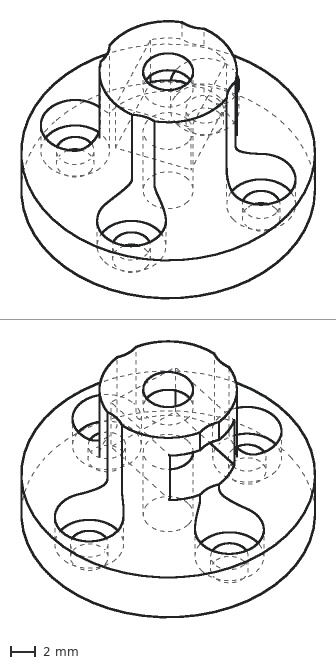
import cadquery as cq

flange_diameter = 23.5
flange_height = 4.5
total_height = 14.0
hub_diameter = 11.0
root_radius = 2.0
bore_diameter = 4.0

screw_count = 4
screw_circle_radius = 8.0
screw_hole_diameter = 3.0
counterbore_diameter = 5.5
counterbore_depth = 3.0

pocket_width = 6.5
pocket_height = 5.0
pocket_roof = 2.0


def make_body():
    """Revolve the flange, the concave root and the hub as one profile."""
    hub_radius = hub_diameter / 2
    profile = (
        cq.Workplane("XZ")
        .lineTo(flange_diameter / 2, 0)
        .lineTo(flange_diameter / 2, flange_height)
        .lineTo(hub_radius + root_radius, flange_height)
        .radiusArc((hub_radius, flange_height + root_radius), root_radius)
        .lineTo(hub_radius, total_height)
        .lineTo(0, total_height)
        .close()
    )
    return profile.revolve(360, (0, 0, 0), (0, 1, 0))


def screw_cylinders(diameter, floor):
    """Cutters at the screw positions, from the floor up to the hub top."""
    return (
        cq.Workplane("XY", origin=(0, 0, floor))
        .polarArray(screw_circle_radius, 0, 360, screw_count)
        .circle(diameter / 2)
        .extrude(total_height - floor)
    )


def make_pocket():
    """Square around the bore, extended out through the +Y side of the hub."""
    back_y = -pocket_width / 2
    length = hub_diameter / 2 - back_y
    floor = total_height - pocket_roof - pocket_height
    return cq.Workplane("XY").box(
        pocket_width, length, pocket_height, centered=(True, False, False)
    ).translate((0, back_y, floor))


bore = cq.Workplane("XY").circle(bore_diameter / 2).extrude(total_height)

result = (
    make_body()
    .cut(bore)
    .cut(screw_cylinders(screw_hole_diameter, 0))
    .cut(screw_cylinders(counterbore_diameter, flange_height - counterbore_depth))
    .cut(make_pocket())
)